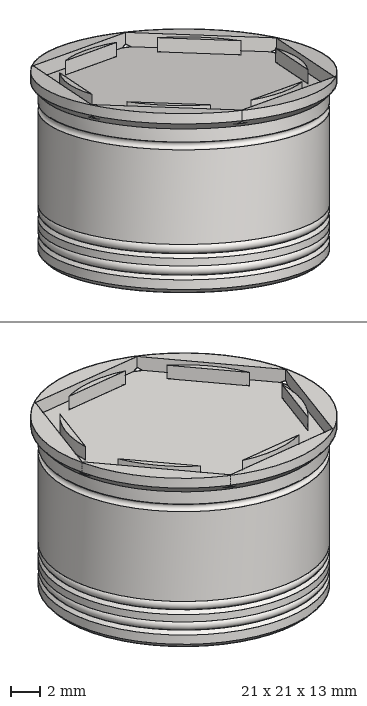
import cadquery as cq
import math

height = 13.0
flange_radius = 10.5
flange_thickness = 0.74
body_radius = 10.0
flange_cone_height = flange_radius - body_radius
bottom_chamfer = 0.32

round_groove_radius = 0.27
round_groove_z = 10.55

ring_section_radius = 0.368
seat_size = 2 * ring_section_radius
seat_top_z = 3.53
seat_pitch = 1.53
seat_lip_chamfer = 0.25
seat_tops = [seat_top_z - i * seat_pitch for i in range(2)]

recess_depth = 1.0
hex_apothem = 9.0
hex_sides = 6
recess_floor_z = height - recess_depth

lug_outer_radius = 8.5
lug_flat_distance = 8.0


def hex_prism(apothem, floor_z, length):
    """Vertical hexagonal prism with two flats perpendicular to X."""
    return (
        cq.Workplane("XY", origin=(0, 0, floor_z))
        .transformed(rotate=(0, 0, 90))
        .polygon(hex_sides, 2 * apothem / math.cos(math.pi / hex_sides))
        .extrude(length)
    )


def plug_blank():
    """Revolved cylinder with the coned flange and the bottom chamfer."""
    flange_bottom_z = height - flange_thickness
    return (
        cq.Workplane("XZ")
        .lineTo(body_radius - bottom_chamfer, 0)
        .lineTo(body_radius, bottom_chamfer)
        .lineTo(body_radius, flange_bottom_z - flange_cone_height)
        .lineTo(flange_radius, flange_bottom_z)
        .lineTo(flange_radius, height)
        .lineTo(0, height)
        .close()
        .revolve(360, (0, 0, 0), (0, 1, 0))
    )


def torus(centre_radius, section_radius, z):
    """Ring of round section around the Z axis."""
    return cq.Workplane(
        cq.Solid.makeTorus(centre_radius, section_radius, cq.Vector(0, 0, z), cq.Vector(0, 0, 1))
    )


def ring_seat(top_z):
    """Cutter for one O-ring groove and its lower lip chamfer."""
    bottom_z = top_z - seat_size
    return (
        cq.Workplane("XZ")
        .moveTo(body_radius - seat_size, top_z)
        .lineTo(body_radius, top_z)
        .lineTo(body_radius, bottom_z - seat_lip_chamfer)
        .lineTo(body_radius - seat_lip_chamfer, bottom_z)
        .lineTo(body_radius - seat_size, bottom_z)
        .close()
        .revolve(360, (0, 0, 0), (0, 1, 0))
    )


def make_lugs():
    """The six parts of a disc that lie outside a hexagon, as high as the rim."""
    disc = cq.Workplane("XY", origin=(0, 0, recess_floor_z)).circle(lug_outer_radius).extrude(recess_depth)
    return disc.cut(hex_prism(lug_flat_distance, recess_floor_z, recess_depth))


def make_plug():
    """Complete plug body with recess, lugs and grooves."""
    recess = hex_prism(hex_apothem, recess_floor_z, recess_depth).cut(make_lugs())
    body = plug_blank().cut(recess)
    body = body.cut(torus(body_radius, round_groove_radius, round_groove_z))
    for top_z in seat_tops:
        body = body.cut(ring_seat(top_z))
    return body


def make_o_ring(top_z):
    """O-ring filling its seat, flush with the plug surface."""
    return torus(body_radius - ring_section_radius, ring_section_radius, top_z - ring_section_radius)


plug = make_plug()
o_rings = [make_o_ring(top_z) for top_z in seat_tops]

result = cq.Compound.makeCompound([plug.solids().val(), *[ring.val() for ring in o_rings]])